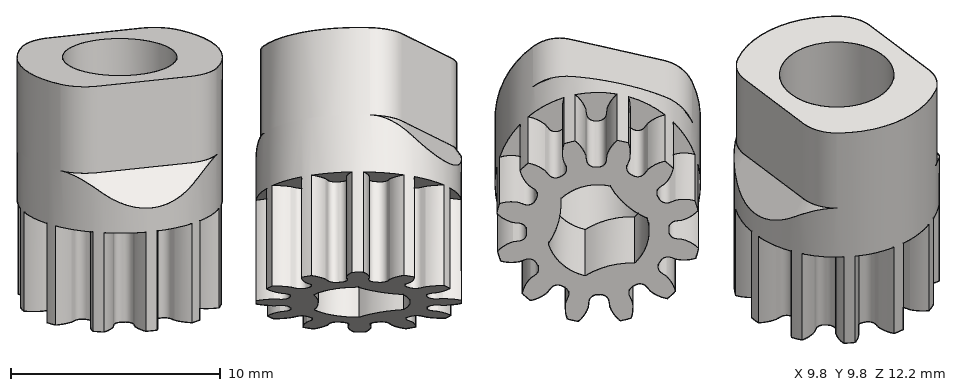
import cadquery as cq
import math

TOTAL_HEIGHT = 12.2
OUTER_RADIUS = 9.8 / 2
GEAR_HEIGHT = 5.0

FLAT_HALF_WIDTH = 3.75
FLAT_CORNER_RADIUS = 2.0
POST_BOTTOM = 7.85
FLARE_ANGLE = 35
FLARE_STRETCH = 0.002

TOOTH_COUNT = 12
PRESSURE_ANGLE = math.radians(14.5)
DEDENDUM_FACTOR = 1.157
MODULE = 2 * OUTER_RADIUS / (TOOTH_COUNT + 2)
PITCH_RADIUS = MODULE * TOOTH_COUNT / 2
BASE_RADIUS = PITCH_RADIUS * math.cos(PRESSURE_ANGLE)
ROOT_RADIUS = PITCH_RADIUS - DEDENDUM_FACTOR * MODULE
ROOT_FILLET_RADIUS = 0.4

BORE_RADIUS = 5.45 / 2
SHAFT_RADIUS = 2.45
LOBE_RADIUS = 1.93
LOBE_COUNT = 3
FIRST_LOBE_ANGLE = math.radians(90)


def polar(radius, angle):
    return (radius * math.cos(angle), radius * math.sin(angle))


def involute(angle):
    """Involute function of a pressure angle."""
    return math.tan(angle) - angle


def flatted_outline(normal_z, stretch=0):
    """Circle with two flats blended into it, on the plane of the post's lower end.

    The plane faces up (1) or down (-1). The flats are lengthened by the stretch at both ends.
    """
    plane = cq.Plane(origin=(0, 0, POST_BOTTOM), xDir=(1, 0, 0), normal=(0, 0, normal_z))
    blend_x = FLAT_HALF_WIDTH - FLAT_CORNER_RADIUS
    blend_y = math.sqrt((OUTER_RADIUS - FLAT_CORNER_RADIUS) ** 2 - blend_x ** 2)
    blend_angle = math.atan2(blend_y, blend_x)
    tangent_x, tangent_y = polar(OUTER_RADIUS, blend_angle)
    offset_x, offset_y = polar(FLAT_CORNER_RADIUS, blend_angle / 2)

    flat_end_y = blend_y + stretch
    corner_x = blend_x + offset_x
    corner_y = flat_end_y + offset_y
    round_y = tangent_y + stretch
    crown_y = OUTER_RADIUS + stretch
    return (
        cq.Workplane(plane)
        .moveTo(FLAT_HALF_WIDTH, -flat_end_y)
        .lineTo(FLAT_HALF_WIDTH, flat_end_y)
        .threePointArc((corner_x, corner_y), (tangent_x, round_y))
        .threePointArc((0, crown_y), (-tangent_x, round_y))
        .threePointArc((-corner_x, corner_y), (-FLAT_HALF_WIDTH, flat_end_y))
        .lineTo(-FLAT_HALF_WIDTH, -flat_end_y)
        .threePointArc((-corner_x, -corner_y), (-tangent_x, -round_y))
        .threePointArc((0, -crown_y), (tangent_x, -round_y))
        .threePointArc((corner_x, -corner_y), (FLAT_HALF_WIDTH, -flat_end_y))
        .close()
    )


def upper_body():
    """Flatted post that flares downwards into the round body above the gear."""
    collar_height = POST_BOTTOM - GEAR_HEIGHT
    post = flatted_outline(1).extrude(TOTAL_HEIGHT - POST_BOTTOM)
    flare = flatted_outline(-1, FLARE_STRETCH).extrude(collar_height, taper=-FLARE_ANGLE)
    collar = (
        cq.Workplane("XY", origin=(0, 0, GEAR_HEIGHT))
        .circle(OUTER_RADIUS)
        .extrude(collar_height)
        .intersect(flare)
    )
    return collar.union(post)


def gear():
    """Spur gear with arcs fitted to involute flanks, radial lower flanks and filleted roots."""
    half_pitch = math.pi / TOOTH_COUNT
    base_half = half_pitch / 2 + involute(PRESSURE_ANGLE)

    def half_tooth(radius):
        return base_half - involute(math.acos(BASE_RADIUS / radius))

    fillet_centre_radius = ROOT_RADIUS + ROOT_FILLET_RADIUS
    fillet_turn = math.asin(ROOT_FILLET_RADIUS / fillet_centre_radius)
    fillet_angle = base_half + fillet_turn
    fillet_top_radius = fillet_centre_radius * math.cos(fillet_turn)
    fillet_centre = polar(fillet_centre_radius, fillet_angle)
    fillet_sweep = math.pi / 2 - fillet_turn
    fillet_offset = polar(ROOT_FILLET_RADIUS, fillet_angle + math.pi + fillet_sweep / 2)
    fillet_mid_x = fillet_centre[0] + fillet_offset[0]
    fillet_mid_y = fillet_centre[1] + fillet_offset[1]
    fillet_mid_radius = math.hypot(fillet_mid_x, fillet_mid_y)
    fillet_mid_angle = math.atan2(fillet_mid_y, fillet_mid_x)

    flank_mid_radius = (BASE_RADIUS + OUTER_RADIUS) / 2
    flank_mid_half = half_tooth(flank_mid_radius)
    tip_half = half_tooth(OUTER_RADIUS)

    profile = cq.Workplane("XY").moveTo(*polar(ROOT_RADIUS, -fillet_angle))
    for tooth in range(TOOTH_COUNT):
        centre = 2 * half_pitch * tooth
        next_centre = centre + 2 * half_pitch
        profile = (
            profile
            .threePointArc(
                polar(fillet_mid_radius, centre - fillet_mid_angle),
                polar(fillet_top_radius, centre - base_half),
            )
            .lineTo(*polar(BASE_RADIUS, centre - base_half))
            .threePointArc(
                polar(flank_mid_radius, centre - flank_mid_half),
                polar(OUTER_RADIUS, centre - tip_half),
            )
            .threePointArc(polar(OUTER_RADIUS, centre), polar(OUTER_RADIUS, centre + tip_half))
            .threePointArc(
                polar(flank_mid_radius, centre + flank_mid_half),
                polar(BASE_RADIUS, centre + base_half),
            )
            .lineTo(*polar(fillet_top_radius, centre + base_half))
            .threePointArc(
                polar(fillet_mid_radius, centre + fillet_mid_angle),
                polar(ROOT_RADIUS, centre + fillet_angle),
            )
            .threePointArc(
                polar(ROOT_RADIUS, centre + half_pitch),
                polar(ROOT_RADIUS, next_centre - fillet_angle),
            )
        )
    return profile.close().extrude(GEAR_HEIGHT)


def lobed_hole():
    """Through hole whose outline alternates inward lobes and round stretches."""
    lobe_pitch = 2 * math.pi / LOBE_COUNT
    half_lobe = lobe_pitch / 4
    profile = cq.Workplane("XY").moveTo(*polar(SHAFT_RADIUS, FIRST_LOBE_ANGLE - half_lobe))
    for lobe in range(LOBE_COUNT):
        centre = FIRST_LOBE_ANGLE + lobe * lobe_pitch
        profile = profile.threePointArc(
            polar(LOBE_RADIUS, centre), polar(SHAFT_RADIUS, centre + half_lobe)
        ).threePointArc(
            polar(SHAFT_RADIUS, centre + 2 * half_lobe), polar(SHAFT_RADIUS, centre + 3 * half_lobe)
        )
    return profile.close().extrude(TOTAL_HEIGHT)


def round_bore():
    """Round bore from the top face down to the gear."""
    return (
        cq.Workplane("XY", origin=(0, 0, GEAR_HEIGHT))
        .circle(BORE_RADIUS)
        .extrude(TOTAL_HEIGHT - GEAR_HEIGHT)
    )


result = gear().union(upper_body()).cut(round_bore()).cut(lobed_hole())